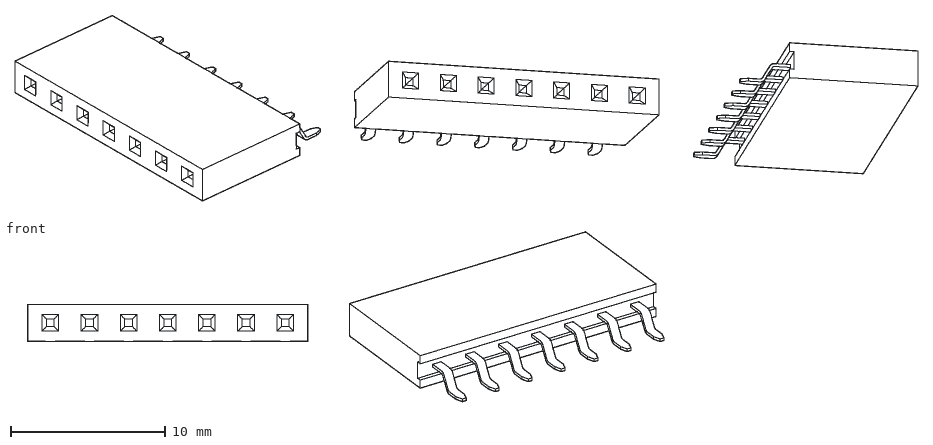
import cadquery as cq
import math

contact_count = 7
pitch = 2.54

housing_width = 18.19
housing_length = 8.5
housing_height = 2.4
mid_height = housing_height / 2

channel_depth = 0.3
channel_height = 1.2

entry_size = 1.08
bore_size = 0.5
entry_depth = (entry_size - bore_size) / 2
bore_depth = 2.0

lead_width = 0.66
lead_thickness = 0.2
lead_reach = 3.0
lead_drop_below_housing = 0.02
lead_embed = 0.3
foot_length = 1.27
bend_radius = 0.18
bend_angle = math.radians(60)
tip_width = 0.3
tip_length = 0.5

lead_tip_y = housing_length + lead_reach
channel_floor_y = housing_length - channel_depth
lead_root_y = channel_floor_y - lead_embed
contact_positions = [(i - (contact_count - 1) / 2) * pitch for i in range(contact_count)]


def make_housing():
    body = cq.Workplane("XY").box(
        housing_width, housing_length, housing_height, centered=(True, False, False)
    )
    channel = (
        cq.Workplane("XY")
        .box(housing_width, channel_depth, channel_height, centered=(True, False, True))
        .translate((0, channel_floor_y, mid_height))
    )
    return body.cut(channel)


def make_socket(x):
    """Pyramidal entry followed by a blind square bore, running toward +Y."""
    mating_plane = cq.Plane(origin=(x, 0, mid_height), xDir=(-1, 0, 0), normal=(0, 1, 0))
    funnel = (
        cq.Workplane(mating_plane)
        .rect(entry_size, entry_size)
        .workplane(offset=entry_depth)
        .rect(bore_size, bore_size)
        .loft(ruled=True)
    )
    bore = cq.Workplane(mating_plane).rect(bore_size, bore_size).extrude(entry_depth + bore_depth)
    return funnel.union(bore)


def make_lead_strip(x):
    """Constant-thickness strip: flat foot, sloped rise and flat shank into the housing."""
    foot_z = lead_thickness / 2 - lead_drop_below_housing
    centre_radius = bend_radius + lead_thickness / 2
    bend_run = centre_radius * math.sin(bend_angle)
    bend_rise = centre_radius * (1 - math.cos(bend_angle))
    slope_rise = mid_height - foot_z - 2 * bend_rise
    slope_run = slope_rise / math.tan(bend_angle)

    foot_end = (lead_tip_y - foot_length, foot_z)
    slope_start = (foot_end[0] - bend_run, foot_z + bend_rise)
    slope_end = (slope_start[0] - slope_run, slope_start[1] + slope_rise)
    shank_start = (slope_end[0] - bend_run, mid_height)

    centreline = (
        cq.Workplane("YZ", origin=(x, 0, 0))
        .moveTo(lead_tip_y, foot_z)
        .lineTo(*foot_end)
        .tangentArcPoint(slope_start, relative=False)
        .lineTo(*slope_end)
        .tangentArcPoint(shank_start, relative=False)
        .lineTo(lead_root_y, mid_height)
    )
    return (
        cq.Workplane("XZ", origin=(x, lead_tip_y, foot_z))
        .rect(lead_width, lead_thickness)
        .sweep(centreline)
    )


def make_lead_envelope(x):
    """Block with the plan outline of a lead, tapered at its tip."""
    half_width = lead_width / 2
    half_tip = tip_width / 2
    taper_start_y = lead_tip_y - tip_length
    outline = [
        (-half_width, lead_root_y),
        (half_width, lead_root_y),
        (half_width, taper_start_y),
        (half_tip, lead_tip_y),
        (-half_tip, lead_tip_y),
        (-half_width, taper_start_y),
    ]
    return (
        cq.Workplane("XY", origin=(x, 0, -lead_drop_below_housing))
        .polyline(outline)
        .close()
        .extrude(housing_height)
    )


result = make_housing()
for contact_x in contact_positions:
    lead = make_lead_strip(contact_x).intersect(make_lead_envelope(contact_x))
    result = result.cut(make_socket(contact_x)).union(lead)